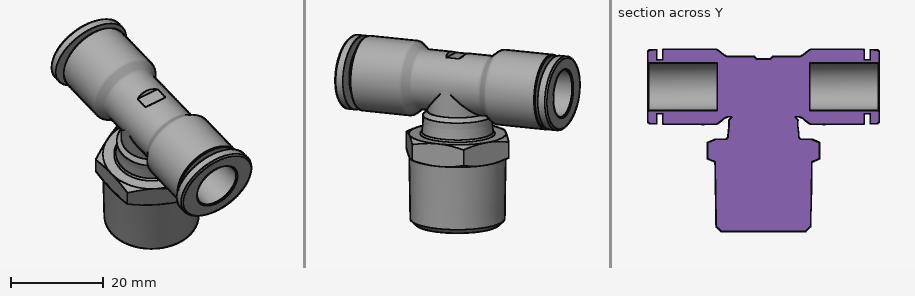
import cadquery as cq
import math


overall_length = 50.0
overall_height = 39.45
socket_radius = 8.15
socket_end_x = 21.8
shoulder_outer_x = 10.1
shoulder_inner_x = 8.0
shoulder_blend = 1.0
middle_radius = 6.55
socket_edge_chamfer = 0.2

collar_width = 18.5
collar_height = 16.0
collar_thickness = 2.0
collar_edge_chamfer = 0.35
collar_neck_radius = 5.85
bore_radius = 5.1
bore_edge_chamfer = 0.25
bore_depth = 15.0

notch_depth = 0.55
notch_floor_length = 3.0
notch_top_length = 4.0

stem_cone_top_z = -6.25
stem_radius = 7.5
stem_straight_end_z = -8.65
stem_flare_start_z = -10.9
stem_flare_start_radius = 7.72
stem_flare_end_radius = 8.1

nut_across_flats = 21.0
nut_top_z = -11.3
nut_thickness = 5.0
nut_chamfer_angle = 25.0

thread_top_radius = 10.48
thread_bottom_radius = 10.25
thread_end_chamfer_height = 1.1
thread_end_radius = 9.1

collar_outer_x = overall_length / 2
collar_inner_x = collar_outer_x - collar_thickness
nut_bottom_z = nut_top_z - nut_thickness
bottom_z = socket_radius - overall_height
nut_corner_radius = nut_across_flats / 2 / math.cos(math.radians(30))


def both_ends(solid):
    """Return a +X end feature together with its mirror image on the -X end."""
    return solid.union(solid.mirror("YZ"))


def make_sockets_and_tube():
    """Both sockets and the middle tube, with conical shoulders blended into the cylinders."""
    plain_run = (
        cq.Workplane("XY")
        .polyline([
            (-socket_end_x, 0),
            (-socket_end_x, socket_radius),
            (-shoulder_outer_x, socket_radius),
            (-shoulder_inner_x, middle_radius),
            (shoulder_inner_x, middle_radius),
            (shoulder_outer_x, socket_radius),
            (socket_end_x, socket_radius),
            (socket_end_x, 0),
        ])
        .close()
        .revolve(360, (0, 0, 0), (1, 0, 0))
    )
    shoulders_box = cq.selectors.BoxSelector(
        (-shoulder_outer_x - shoulder_blend, -socket_radius, -socket_radius),
        (shoulder_outer_x + shoulder_blend, socket_radius, socket_radius),
    )
    blended = plain_run.edges("%CIRCLE").edges(shoulders_box).fillet(shoulder_blend)
    return blended.faces("<X or >X").edges().chamfer(socket_edge_chamfer)


def make_collar():
    """Oval release collar at +X and the round neck behind it."""
    flange = (
        cq.Workplane("YZ", origin=(collar_inner_x, 0, 0))
        .ellipse(collar_width / 2, collar_height / 2)
        .extrude(collar_thickness)
        .faces(">X")
        .edges()
        .chamfer(collar_edge_chamfer)
    )
    neck = (
        cq.Workplane("YZ", origin=(socket_end_x, 0, 0))
        .circle(collar_neck_radius)
        .extrude(collar_inner_x - socket_end_x)
    )
    return flange.union(neck)


def make_bore():
    """Blind tube bore at +X with a chamfered mouth."""
    bore_bottom_x = collar_outer_x - bore_depth
    return (
        cq.Workplane("XY")
        .polyline([
            (bore_bottom_x, 0),
            (bore_bottom_x, bore_radius),
            (collar_outer_x - bore_edge_chamfer, bore_radius),
            (collar_outer_x, bore_radius + bore_edge_chamfer),
            (collar_outer_x, 0),
        ])
        .close()
        .revolve(360, (0, 0, 0), (1, 0, 0))
    )


def make_notch():
    """Trapezoidal cutter across the top of the middle tube."""
    floor_z = middle_radius - notch_depth
    return (
        cq.Workplane("XZ")
        .polyline([
            (-notch_floor_length / 2, floor_z),
            (notch_floor_length / 2, floor_z),
            (notch_top_length / 2, middle_radius),
            (-notch_top_length / 2, middle_radius),
        ])
        .close()
        .extrude(middle_radius, both=True)
    )


def make_stem():
    """Turned stem and thread body below the run."""
    stem_cone_bottom_z = stem_cone_top_z - (stem_radius - middle_radius)
    return (
        cq.Workplane("XZ")
        .polyline([
            (0, 0),
            (middle_radius, 0),
            (middle_radius, stem_cone_top_z),
            (stem_radius, stem_cone_bottom_z),
            (stem_radius, stem_straight_end_z),
            (stem_flare_start_radius, stem_flare_start_z),
            (stem_flare_end_radius, nut_top_z),
            (thread_top_radius, nut_top_z),
            (thread_top_radius, nut_bottom_z),
            (thread_bottom_radius, bottom_z + thread_end_chamfer_height),
            (thread_end_radius, bottom_z),
            (0, bottom_z),
        ])
        .close()
        .revolve(360, (0, 0, 0), (0, 1, 0))
    )


def make_nut():
    """Hexagon with flats facing Y, its corners turned conical on both faces."""
    hexagon = (
        cq.Workplane("XY", origin=(0, 0, nut_bottom_z))
        .polygon(6, 2 * nut_corner_radius)
        .extrude(nut_thickness)
    )
    face_radius = nut_across_flats / 2
    corner_drop = (nut_corner_radius - face_radius) * math.tan(math.radians(nut_chamfer_angle))
    turned_blank = (
        cq.Workplane("XZ")
        .polyline([
            (0, nut_top_z),
            (face_radius, nut_top_z),
            (nut_corner_radius, nut_top_z - corner_drop),
            (nut_corner_radius, nut_bottom_z + corner_drop),
            (face_radius, nut_bottom_z),
            (0, nut_bottom_z),
        ])
        .close()
        .revolve(360, (0, 0, 0), (0, 1, 0))
    )
    return hexagon.intersect(turned_blank)


run = make_sockets_and_tube().union(both_ends(make_collar()))
body = run.union(make_stem()).union(make_nut())
result = body.cut(make_notch()).cut(both_ends(make_bore()))